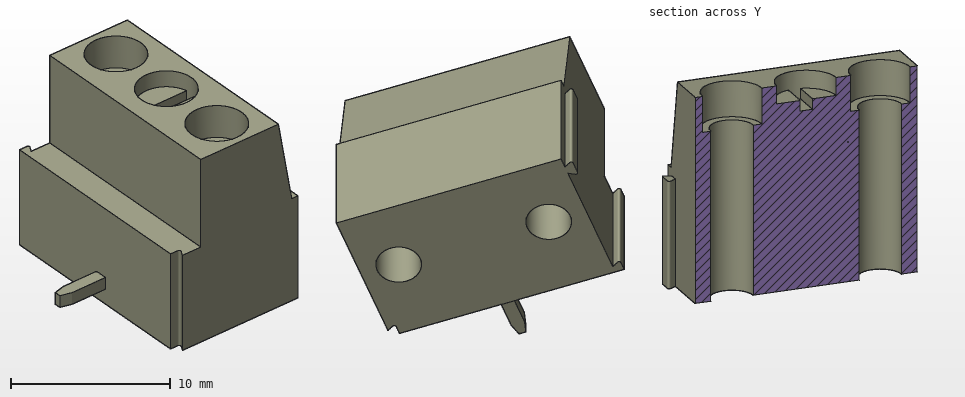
import cadquery as cq
import math

total_width = 15.6
total_height = 13.8
lock_reach = 0.6
body_width = total_width - lock_reach
body_depth = 9.8

front_step_depth = 1.95
front_step_height = 7.19
back_ledge_depth = 0.5
back_ledge_height = 7.72
back_top_inset = 1.58

flank_angle = math.radians(30)
hook_root = 0.47
rail_center_y = body_depth - 0.97
rail_root = 0.55
lock_round = 0.12

pitch = 5.0
opening_y = 5.27
opening_diameter = 4.0
through_diameter = 2.85
outer_opening_depth = 2.4
screw_depth = 1.2
screw_slot_width = 0.81
screw_slot_depth = 0.7

pin_length = 3.51
pin_thickness = 0.89
pin_tip_width = 0.45
pin_tip_length = 0.83
pin_center_z = 1.58

body_center_x = body_width / 2
flank_rise = lock_reach * math.tan(flank_angle)


def make_housing():
    """Stepped profile in the YZ plane, extruded along the width."""
    profile = [
        (0, 0),
        (body_depth, 0),
        (body_depth, back_ledge_height),
        (body_depth - back_ledge_depth, back_ledge_height),
        (body_depth - back_top_inset, total_height),
        (front_step_depth, total_height),
        (front_step_depth, front_step_height),
        (0, front_step_height),
    ]
    return cq.Workplane("YZ").polyline(profile).close().extrude(body_width)


def make_hook():
    """Hook with its outer face lock_reach to the -X side of the origin."""
    outline = [
        (0, 0),
        (0, hook_root),
        (-lock_reach, hook_root + flank_rise),
        (-lock_reach, 0),
    ]
    hook = cq.Workplane("XY").polyline(outline).close().extrude(front_step_height)
    return hook.edges("|Z and <X and >Y").fillet(lock_round)


def make_rail():
    """Dovetail rail that widens away from the body."""
    half_root = rail_root / 2
    half_crest = half_root + flank_rise
    outline = [
        (0, rail_center_y - half_root),
        (0, rail_center_y + half_root),
        (-lock_reach, rail_center_y + half_crest),
        (-lock_reach, rail_center_y - half_crest),
    ]
    rail = cq.Workplane("XY").polyline(outline).close().extrude(front_step_height)
    return rail.edges("|Z and <X").fillet(lock_round)


def drill(diameter, depth, x_offset=0):
    """Cylinder sunk from the top face, placed along the row of openings."""
    center = (body_center_x + x_offset, opening_y, total_height)
    return cq.Workplane("XY", origin=center).circle(diameter / 2).extrude(-depth)


def make_openings():
    """Two stepped through holes on either side of a slotted screw recess."""
    slot_floor = screw_depth + screw_slot_depth
    slot_limit = cq.Workplane("XY", origin=(body_center_x, opening_y, total_height))
    slot_limit = slot_limit.rect(screw_slot_width, opening_diameter).extrude(-slot_floor)
    slot = drill(opening_diameter, slot_floor).intersect(slot_limit)
    openings = drill(opening_diameter, screw_depth).union(slot)
    for x_offset in (-pitch, pitch):
        openings = openings.union(drill(opening_diameter, outer_opening_depth, x_offset))
        openings = openings.union(drill(through_diameter, total_height, x_offset))
    return openings


def make_pin():
    """Square pin with a tip tapered in width, rooted in the front face."""
    half_width = pin_thickness / 2
    half_tip = pin_tip_width / 2
    taper_start = pin_tip_length - pin_length
    outline = [
        (-half_width, 0),
        (-half_width, taper_start),
        (-half_tip, -pin_length),
        (half_tip, -pin_length),
        (half_width, taper_start),
        (half_width, 0),
    ]
    base = cq.Workplane("XY", origin=(body_center_x, 0, pin_center_z - pin_thickness / 2))
    return base.polyline(outline).close().extrude(pin_thickness)


hook = make_hook()
notch = hook.translate((body_width, 0, 0))

result = (
    make_housing()
    .union(hook)
    .union(make_rail())
    .cut(notch)
    .cut(make_openings())
    .union(make_pin())
)